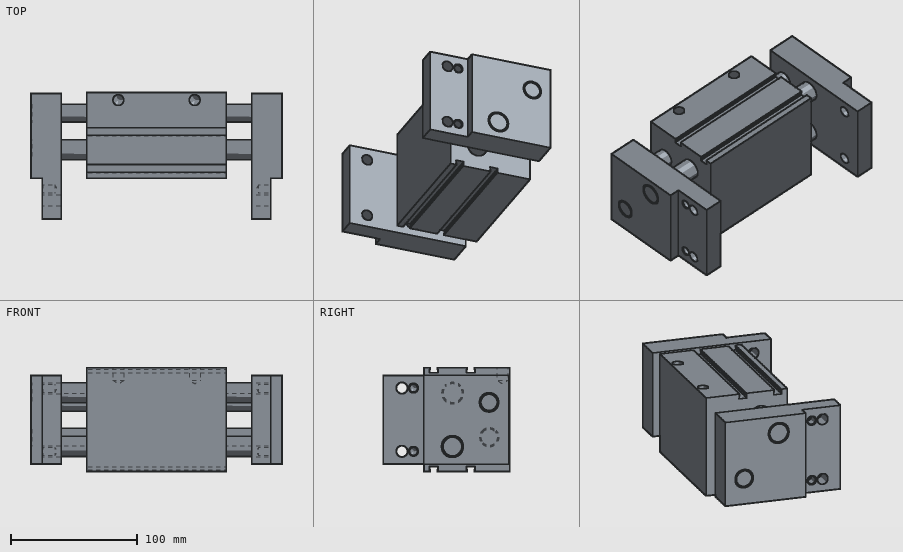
import cadquery as cq
import math


total_length = 198.0
total_width = 100.0
housing_width = 68.0
housing_height = 82.0
finger_thickness = 24.0
jaw_thickness = 15.2
rod_length = 20.0
housing_length = total_length - 2 * (finger_thickness + rod_length)

back_y = housing_width / 2
housing_front_y = -housing_width / 2
jaw_tip_y = back_y - total_width
top_z = housing_height / 2

finger_back_inset = 0.8
finger_height = 70.0
finger_inner_x = housing_length / 2 + rod_length
finger_outer_x = total_length / 2
finger_back_y = back_y - finger_back_inset
step_y = housing_front_y
jaw_outer_x = finger_inner_x + jaw_thickness

piston_rod_diameter = 16.0
piston_rod_y = back_y - 45.3
piston_rod_z = 21.2
guide_rod_diameter = 14.0
guide_rod_y = back_y - 16.5
guide_rod_z = 13.7
rod_end_groove_depth = 0.5

jaw_hole_z = 25.0
clearance_hole_diameter = 8.7
clearance_hole_y = jaw_tip_y + 14.8
thread_hole_diameter = 6.3
thread_hole_mouth_diameter = 7.5
thread_hole_depth = 9.9
thread_hole_y = jaw_tip_y + 24.0
drill_point_angle = 118.0

slot_depth = 4.0
slot_inner_width = 6.5
slot_mouth_width = 5.7
slot_lip_height = 1.4
slot_ys = (back_y - 30.9, back_y - 60.0)
port_diameter = 8.5
port_depth = 9.9
port_x = 30.0
port_y = back_y - 6.1


def box(x_range, y_range, z_range):
    """Rectangular block given by its limits along each axis."""
    corner = (x_range[0], y_range[0], z_range[0])
    size = [limits[1] - limits[0] for limits in (x_range, y_range, z_range)]
    return cq.Workplane("XY").box(*size, centered=False).translate(corner)


def x_cylinder(diameter, start_x, end_x, y, z):
    """Cylinder along X."""
    return cq.Workplane("YZ", origin=(start_x, y, z)).circle(diameter / 2).extrude(end_x - start_x)


def drilled_hole(diameter, depth, mouth, direction):
    """Blind round hole with a conical drill point, cut from the mouth along the direction."""
    radius = diameter / 2
    point_height = radius / math.tan(math.radians(drill_point_angle / 2))
    cylinder = cq.Solid.makeCylinder(radius, depth, mouth, direction)
    point = cq.Solid.makeCone(radius, 0, point_height, mouth + direction * depth, direction)
    return cq.Workplane(cylinder.fuse(point))


def slot(y, side):
    """Undercut slot along the whole housing, on the top (side 1) or bottom (side -1) face."""
    half_length = housing_length / 2

    def channel(width):
        z_limits = sorted((side * top_z, side * (top_z - slot_depth)))
        return box((-half_length, half_length), (y - width / 2, y + width / 2), z_limits)

    lip_z = sorted((side * top_z, side * (top_z - slot_lip_height)))
    lip_y = (y - slot_inner_width / 2, y + slot_inner_width / 2)
    lip_zone = box((-half_length, half_length), lip_y, lip_z)
    return channel(slot_inner_width).cut(lip_zone).union(channel(slot_mouth_width))


def make_housing():
    housing = cq.Workplane("XY").box(housing_length, housing_width, housing_height)
    for side in (1, -1):
        for y in slot_ys:
            housing = housing.cut(slot(y, side))
    for x in (-port_x, port_x):
        mouth = cq.Vector(x, port_y, top_z)
        housing = housing.cut(drilled_hole(port_diameter, port_depth, mouth, cq.Vector(0, 0, -1)))
    return housing


def rod_end_groove(rod_diameter, y, z):
    """V-shaped ring around a rod end, open at the outer face of the right finger."""
    radius = rod_diameter / 2
    return (
        cq.Workplane("XY", origin=(finger_outer_x, y, z))
        .moveTo(0, radius - rod_end_groove_depth)
        .lineTo(-rod_end_groove_depth, radius)
        .lineTo(0, radius + rod_end_groove_depth)
        .close()
        .revolve(360, (0, 0, 0), (1, 0, 0))
    )


def threaded_hole(z):
    """Blind hole with a 45 degree chamfered mouth in the outer face of the jaw."""
    mouth = cq.Vector(jaw_outer_x, thread_hole_y, z)
    inward = cq.Vector(-1, 0, 0)
    mouth_radius = thread_hole_mouth_diameter / 2
    hole_radius = thread_hole_diameter / 2
    chamfer = cq.Solid.makeCone(mouth_radius, hole_radius, mouth_radius - hole_radius, mouth, inward)
    return drilled_hole(thread_hole_diameter, thread_hole_depth, mouth, inward).union(cq.Workplane(chamfer))


def make_right_finger():
    """Finger plate with its stepped jaw and the four rods that reach back to the housing."""
    z_range = (-finger_height / 2, finger_height / 2)
    finger = box((finger_inner_x, finger_outer_x), (step_y, finger_back_y), z_range)
    finger = finger.union(box((finger_inner_x, jaw_outer_x), (jaw_tip_y, step_y), z_range))

    rod_start_x = housing_length / 2
    for side in (1, -1):
        finger = finger.union(
            x_cylinder(piston_rod_diameter, rod_start_x, finger_inner_x, piston_rod_y, side * piston_rod_z)
        )
        finger = finger.union(
            x_cylinder(guide_rod_diameter, rod_start_x, finger_inner_x, guide_rod_y, side * guide_rod_z)
        )

    finger = finger.cut(rod_end_groove(piston_rod_diameter, piston_rod_y, -piston_rod_z))
    finger = finger.cut(rod_end_groove(guide_rod_diameter, guide_rod_y, guide_rod_z))

    for z in (-jaw_hole_z, jaw_hole_z):
        finger = finger.cut(
            x_cylinder(clearance_hole_diameter, finger_inner_x, jaw_outer_x, clearance_hole_y, z)
        )
        finger = finger.cut(threaded_hole(z))
    return finger


housing = make_housing()

fingers = []
for turn in (0, 180):
    fingers.append(make_right_finger().rotate((0, 0, 0), (0, 1, 0), turn))

result = cq.Compound.makeCompound([housing.val(), *[finger.val() for finger in fingers]])